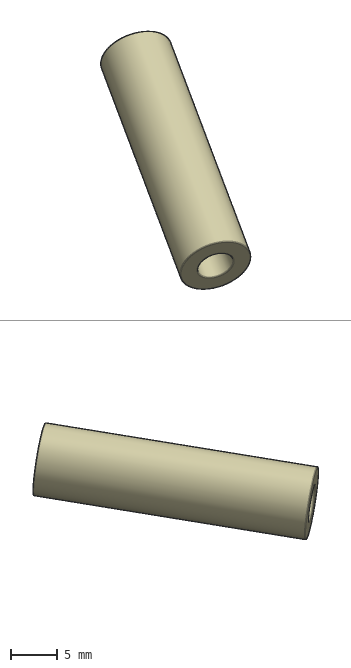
import cadquery as cq

length = 30.0
outer_diameter = 8.0
bore_diameter = 4.0
edge_radius = 0.1

tube = (
    cq.Workplane("YZ", origin=(-length / 2, 0, 0))
    .circle(outer_diameter / 2)
    .circle(bore_diameter / 2)
    .extrude(length)
)

result = tube.faces("<X or >X").edges().fillet(edge_radius)